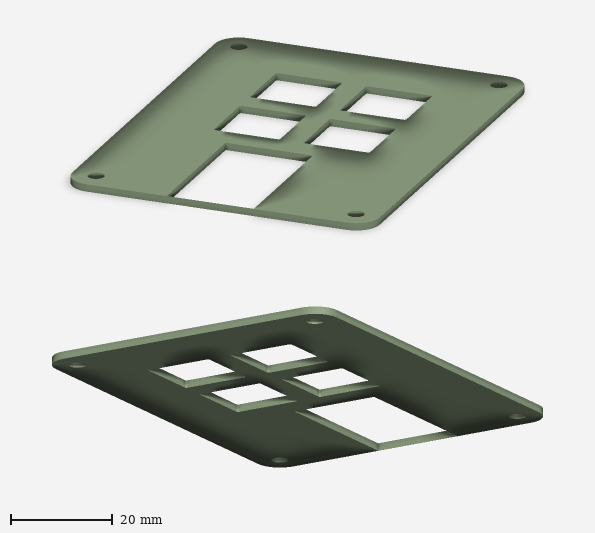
import cadquery as cq

width = 65.0
length = 84.9
thickness = 1.5
corner_radius = 5.0

hole_diameter = 3.4
hole_span_x = width - 2 * corner_radius
hole_span_y = length - 2 * corner_radius

key_size = 14.0
key_pitch = 19.0
key_corner_radius = 0.4
key_group_x = 1.1
key_group_y = 10.6

slot_width = 18.4
slot_depth = 31.0
slot_x = -1.4
web_thickness = 0.05
web_setback = 0.02


def make_plate():
    plate = cq.Workplane("XY").box(width, length, thickness)
    return plate.edges("|Z").fillet(corner_radius)


def make_mounting_holes():
    return (
        cq.Workplane("XY")
        .rarray(hole_span_x, hole_span_y, 2, 2)
        .circle(hole_diameter / 2)
        .extrude(thickness, both=True)
    )


def make_key_openings():
    return (
        cq.Workplane("XY")
        .center(key_group_x, key_group_y)
        .rarray(key_pitch, key_pitch, 2, 2)
        .rect(key_size, key_size)
        .extrude(thickness, both=True)
        .edges("|Z")
        .fillet(key_corner_radius)
    )


def make_slot():
    slot_center_y = (slot_depth - length) / 2
    return cq.Workplane("XY").box(slot_width, slot_depth, 2 * thickness).translate((slot_x, slot_center_y, 0))


def make_web():
    web_center_y = -length / 2 + web_setback + web_thickness / 2
    return cq.Workplane("XY").box(slot_width, web_thickness, thickness).translate((slot_x, web_center_y, 0))


plate = make_plate().cut(make_mounting_holes()).cut(make_key_openings()).cut(make_slot())
result = plate.union(make_web())